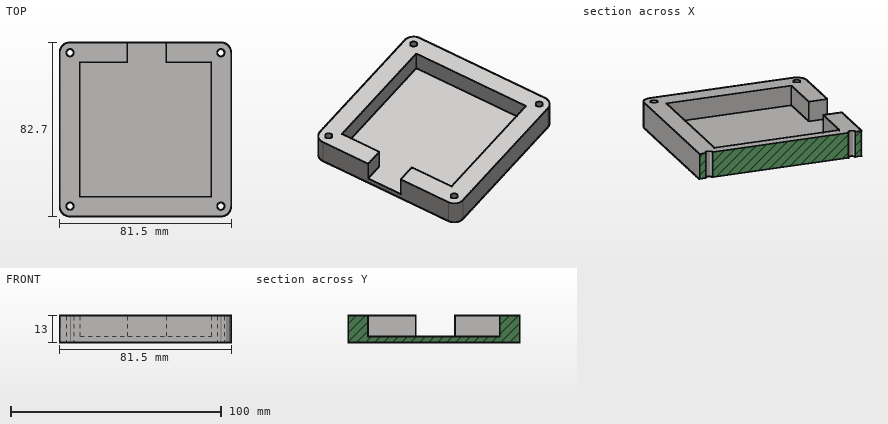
import cadquery as cq

width = 81.5
length = 82.7
height = 13.0
corner_radius = 5.0

wall = 9.5
floor_thickness = 3.0
cavity_depth = height - floor_thickness

opening_width = 18.5
opening_offset = 0.7

hole_diameter = 3.4
hole_spacing_x = width - 2 * corner_radius
hole_spacing_y = length - 2 * corner_radius


def make_block():
    block = cq.Workplane("XY").box(width, length, height, centered=(True, True, False))
    return block.edges("|Z").fillet(corner_radius)


def make_cavity():
    return (
        cq.Workplane("XY", origin=(0, 0, floor_thickness))
        .rect(width - 2 * wall, length - 2 * wall)
        .extrude(cavity_depth)
    )


def make_opening():
    return (
        cq.Workplane("XY", origin=(opening_offset, length / 4, floor_thickness))
        .rect(opening_width, length / 2)
        .extrude(cavity_depth)
    )


def make_screw_holes():
    return (
        cq.Workplane("XY")
        .rect(hole_spacing_x, hole_spacing_y, forConstruction=True)
        .vertices()
        .circle(hole_diameter / 2)
        .extrude(height)
    )


result = make_block().cut(make_cavity()).cut(make_opening()).cut(make_screw_holes())